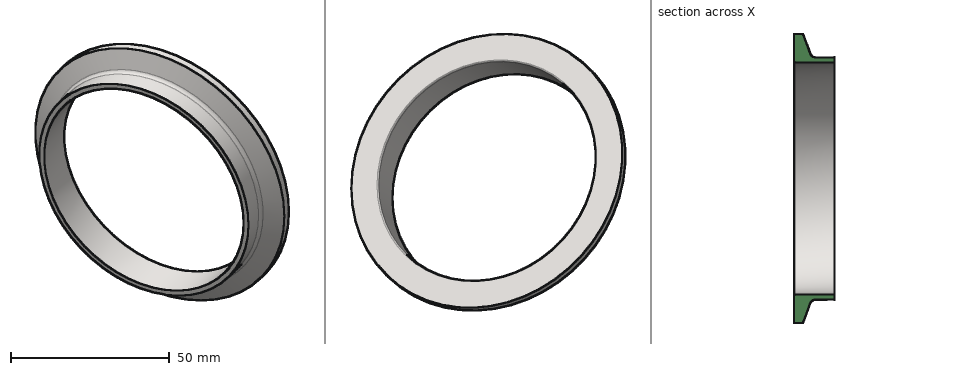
import cadquery as cq
import math

flange_radius = 45.5
tube_radius = 38.2
bore_radius = 36.4
length = 12.7
rim_thickness = 2.9
cone_angle = 20.0
root_fillet = 1.4
bore_edge_fillet = 0.5

cone_rise = (flange_radius - tube_radius) * math.tan(math.radians(cone_angle))
root_height = rim_thickness + cone_rise

section = (
    cq.Workplane("XY")
    .moveTo(bore_radius, 0)
    .lineTo(flange_radius, 0)
    .lineTo(flange_radius, -rim_thickness)
    .lineTo(tube_radius, -root_height)
    .lineTo(tube_radius, -length)
    .lineTo(bore_radius, -length)
    .close()
)
ferrule = section.revolve(360, (0, 0, 0), (0, 1, 0))

corner_margin = 0.1
root_edge = cq.selectors.BoxSelector(
    (-flange_radius, -root_height - corner_margin, -flange_radius),
    (flange_radius, -root_height + corner_margin, flange_radius),
    boundingbox=True,
)
ferrule = ferrule.edges(root_edge).fillet(root_fillet)

mouth_edge = cq.selectors.RadiusNthSelector(0)
result = ferrule.faces(">Y").edges(mouth_edge).fillet(bore_edge_fillet)